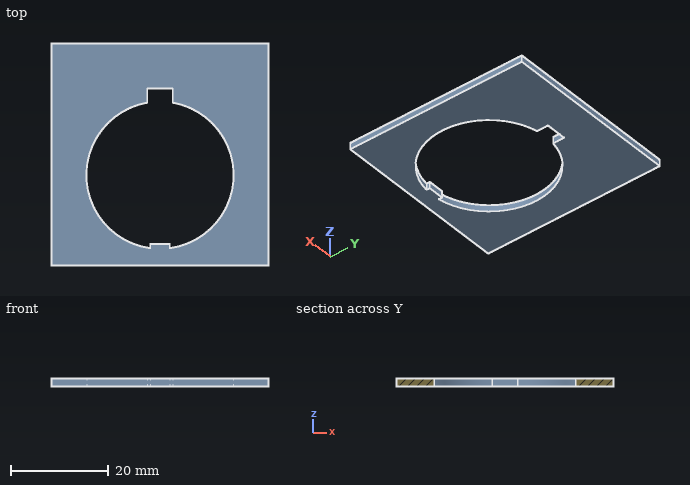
import cadquery as cq

plate_width = 44.8
plate_height = 45.75
plate_thickness = 1.7

opening_diameter = 30.3
opening_center_y = -4.25

notch_width = 5.2
notch_top_y = 13.6

key_width = 4.03
key_top_y = -18.4


def make_plate():
    return cq.Workplane("XY").box(plate_width, plate_height, plate_thickness)


def make_opening():
    return (
        cq.Workplane("XY")
        .center(0, opening_center_y)
        .circle(opening_diameter / 2)
        .extrude(plate_thickness / 2, both=True)
    )


def make_block(width, bottom_y, top_y):
    """Block through the plate thickness, centred across the width."""
    height = top_y - bottom_y
    return (
        cq.Workplane("XY")
        .center(0, (bottom_y + top_y) / 2)
        .rect(width, height)
        .extrude(plate_thickness / 2, both=True)
    )


notch = make_block(notch_width, opening_center_y, notch_top_y)
key = make_block(key_width, -plate_height / 2, key_top_y)
cutout = make_opening().union(notch).cut(key)

result = make_plate().cut(cutout)